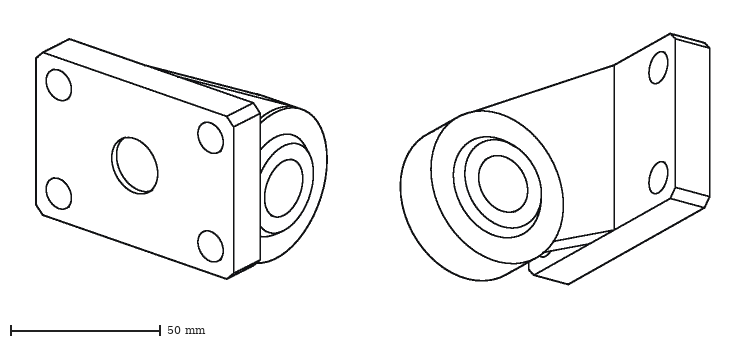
import cadquery as cq
import math


plate_width = 86.0
plate_height = 60.0
plate_thickness = 14.0
corner_chamfer = 3.0
bolt_hole_diameter = 11.0
bolt_spacing_x = 66.0
bolt_spacing_z = 40.0
recess_diameter = 20.0
recess_depth = 2.5

eye_radius = 27.0
eye_width = 18.0
eye_y = 63.0
eye_z = -27.0

web_width = 14.4
web_bottom_angle = 30.0

ball_radius = 20.0
ball_width = 25.0
ball_bore = 20.0


def cylinder_along_x(radius, width):
    """Cylinder on the eye axis, centred on X = 0."""
    return (
        cq.Workplane("YZ", origin=(-width / 2, eye_y, eye_z))
        .circle(radius)
        .extrude(width)
    )


def bearing_sphere():
    """Full sphere centred in the eye, with its poles on the pin axis."""
    return (
        cq.Workplane("XY")
        .sphere(ball_radius)
        .rotate((0, 0, 0), (0, 1, 0), 90)
        .translate((0, eye_y, eye_z))
    )


def make_plate():
    plate = (
        cq.Workplane("XY")
        .box(plate_width, plate_thickness, plate_height, centered=(True, False, True))
        .edges("|Y")
        .chamfer(corner_chamfer)
    )
    bolt_holes = (
        cq.Workplane("XZ")
        .rect(bolt_spacing_x, bolt_spacing_z, forConstruction=True)
        .vertices()
        .circle(bolt_hole_diameter / 2)
        .extrude(-plate_thickness)
    )
    recess = cq.Workplane("XZ").circle(recess_diameter / 2).extrude(-recess_depth)
    return plate.cut(bolt_holes).cut(recess)


def eye_rim_point(angle):
    """Point (Y, Z) on the eye's rim, with the angle in radians from +Y towards +Z."""
    return (eye_y + eye_radius * math.cos(angle), eye_z + eye_radius * math.sin(angle))


def make_web():
    plate_top = (plate_thickness, plate_height / 2)
    plate_bottom = (plate_thickness, -plate_height / 2)

    offset_y = plate_top[0] - eye_y
    offset_z = plate_top[1] - eye_z
    direction = math.atan2(offset_z, offset_y)
    swing = math.acos(eye_radius / math.hypot(offset_y, offset_z))
    upper_point = eye_rim_point(direction - swing)
    lower_point = eye_rim_point(math.pi + math.radians(web_bottom_angle))

    outline = [plate_bottom, plate_top, upper_point, (eye_y, eye_z), lower_point]
    web_side = cq.Workplane("YZ", origin=(-web_width / 2, 0, 0))
    return web_side.polyline(outline).close().extrude(web_width)


def make_bracket():
    """Plate, web and eye in one piece, with a spherical seat for the ball."""
    eye = cylinder_along_x(eye_radius, eye_width)
    return make_plate().union(make_web()).union(eye).cut(bearing_sphere())


def make_ball():
    """Sphere cut flat on both sides and bored for the pin."""
    flats = cylinder_along_x(ball_radius, ball_width)
    bore = cylinder_along_x(ball_bore / 2, ball_width)
    return bearing_sphere().intersect(flats).cut(bore)


bracket = make_bracket()
ball = make_ball()

result = cq.Compound.makeCompound([bracket.solids().val(), ball.solids().val()])